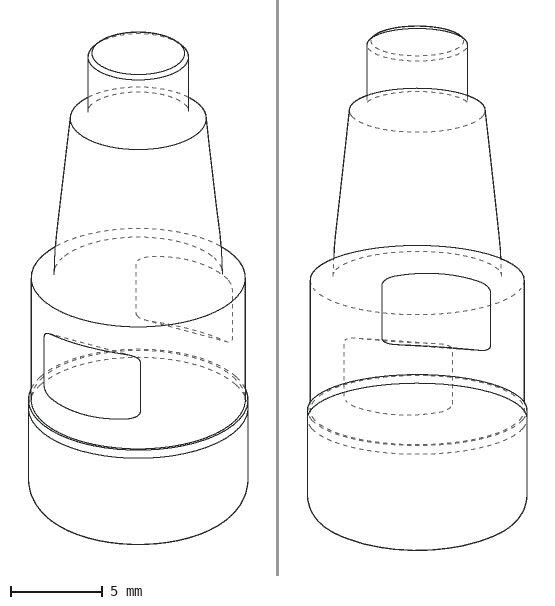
import cadquery as cq
import math

total_height = 28.3
pin_length = 4.0
collar_length = 7.5
rim_height = 0.5
cap_height = 6.5

rim_top = cap_height + rim_height
collar_top = rim_top + collar_length
shoulder_height = total_height - pin_length

cap_radius = 12.0 / 2
bottom_curve_radius = 6.0
bottom_curve_angle = math.radians(30)
cap_edge_radius = 1.5

collar_radius = 11.7 / 2
flats_across = 10.0
flat_height = 3.0
flat_corner_radius = 0.5
flat_end_slope = math.radians(15)
flat_middle = 10.8

neck_radius = 4.6
neck_fillet = 0.3
taper_angle = math.radians(6)
taper_start = 17.0

pin_radius = 5.5 / 2
pin_fillet = 0.5
pin_chamfer = 0.22


def arc_point(center, radius, angle):
    """Point on an arc at the given angle, in radians."""
    return (center[0] + radius * math.cos(angle), center[1] + radius * math.sin(angle))


def make_cap():
    """Solid cap whose flat bottom rises through two tangent arcs to the side."""
    edge_center_radius = cap_radius - cap_edge_radius
    center_distance = bottom_curve_radius - cap_edge_radius
    flat_radius = edge_center_radius - center_distance * math.sin(bottom_curve_angle)
    edge_height = bottom_curve_radius - center_distance * math.cos(bottom_curve_angle)

    curve_center = (flat_radius, bottom_curve_radius)
    edge_center = (edge_center_radius, edge_height)
    curve_start_angle = -math.pi / 2
    curve_end_angle = curve_start_angle + bottom_curve_angle
    curve_middle_angle = (curve_start_angle + curve_end_angle) / 2

    profile = (
        cq.Workplane("XZ")
        .lineTo(flat_radius, 0)
        .threePointArc(
            arc_point(curve_center, bottom_curve_radius, curve_middle_angle),
            arc_point(curve_center, bottom_curve_radius, curve_end_angle),
        )
        .threePointArc(
            arc_point(edge_center, cap_edge_radius, curve_end_angle / 2),
            (cap_radius, edge_height),
        )
        .lineTo(cap_radius, cap_height)
        .lineTo(0, cap_height)
        .close()
    )
    return profile.revolve(360, (0, 0), (0, 1))


def make_turned_body():
    """Rim, collar, tapered neck and pin, revolved as one profile."""
    neck_foot = collar_top + neck_fillet
    neck_curve_radius = (taper_start - neck_foot) / math.sin(taper_angle)
    neck_curve_center = (neck_radius - neck_curve_radius, neck_foot)
    taper_start_radius = neck_curve_center[0] + neck_curve_radius * math.cos(taper_angle)
    shoulder_radius = taper_start_radius - (shoulder_height - taper_start) * math.tan(taper_angle)

    neck_fillet_center = (neck_radius + neck_fillet, neck_foot)
    pin_foot = shoulder_height + pin_fillet
    pin_fillet_center = (pin_radius + pin_fillet, pin_foot)
    fillet_middle_angle = math.radians(225)

    profile = (
        cq.Workplane("XZ")
        .moveTo(0, cap_height)
        .lineTo(cap_radius, cap_height)
        .lineTo(cap_radius, rim_top)
        .lineTo(collar_radius, rim_top)
        .lineTo(collar_radius, collar_top)
        .lineTo(neck_fillet_center[0], collar_top)
        .threePointArc(
            arc_point(neck_fillet_center, neck_fillet, fillet_middle_angle),
            (neck_radius, neck_foot),
        )
        .threePointArc(
            arc_point(neck_curve_center, neck_curve_radius, taper_angle / 2),
            (taper_start_radius, taper_start),
        )
        .lineTo(shoulder_radius, shoulder_height)
        .lineTo(pin_fillet_center[0], shoulder_height)
        .threePointArc(
            arc_point(pin_fillet_center, pin_fillet, fillet_middle_angle),
            (pin_radius, pin_foot),
        )
        .lineTo(pin_radius, total_height - pin_chamfer)
        .lineTo(pin_radius - pin_chamfer, total_height)
        .lineTo(0, total_height)
        .close()
    )
    return profile.revolve(360, (0, 0), (0, 1))


def make_flat_cutter():
    """Bar along X that cuts one wrench flat on the +Y side of the collar.

    The ends of the flat turn outward through a round corner into a gentle slope.
    """
    floor = flats_across / 2
    outside = cap_radius
    half_flat = flat_height / 2
    corner_y = floor + flat_corner_radius
    slope_start_y = corner_y - flat_corner_radius * math.sin(flat_end_slope)
    slope_start_z = half_flat + flat_corner_radius * math.cos(flat_end_slope)
    slope_end_z = slope_start_z + (outside - slope_start_y) * math.tan(flat_end_slope)
    upper_middle_angle = (math.pi + math.pi / 2 + flat_end_slope) / 2
    upper_middle = arc_point((corner_y, half_flat), flat_corner_radius, upper_middle_angle)

    return (
        cq.Workplane("YZ")
        .moveTo(floor, -half_flat)
        .lineTo(floor, half_flat)
        .threePointArc(upper_middle, (slope_start_y, slope_start_z))
        .lineTo(outside, slope_end_z)
        .lineTo(outside, -slope_end_z)
        .lineTo(slope_start_y, -slope_start_z)
        .threePointArc((upper_middle[0], -upper_middle[1]), (floor, -half_flat))
        .close()
        .extrude(cap_radius, both=True)
        .translate((0, 0, flat_middle))
    )


def make_body():
    """Turned body with wrench flats cut on opposite sides of the collar."""
    body = make_turned_body()
    for side_angle in (0, 180):
        body = body.cut(make_flat_cutter().rotate((0, 0, 0), (0, 0, 1), side_angle))
    return body


cap = make_cap()
body = make_body()

result = cq.Compound.makeCompound([cap.val(), body.val()])